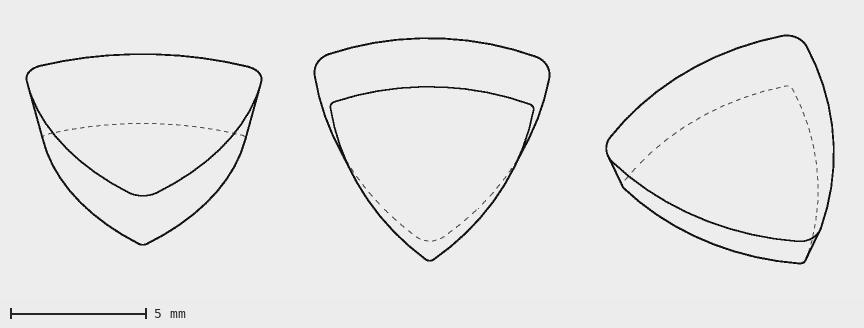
import cadquery as cq
import math

width = 8.66
depth = 8.37
thickness = 2.78
corner_radius = 0.82
clearance_angle = 12.0

flank_inset = thickness * math.tan(math.radians(clearance_angle))

half_spacing = width / 2 - corner_radius
center_distance = half_spacing / math.cos(math.radians(30))
triangle_inradius = center_distance / 2

side_distance = depth - center_distance - corner_radius
bulge = side_distance - triangle_inradius - corner_radius
tangent_radius = (half_spacing**2 + bulge**2) / (2 * bulge)
tangent_half_angle = math.degrees(math.asin(half_spacing / tangent_radius))


def polar(distance, angle):
    """Point at a distance from the origin, at an angle in degrees."""
    return cq.Vector(
        distance * math.cos(math.radians(angle)),
        distance * math.sin(math.radians(angle)),
    )


def outline(z, inset):
    """Closed outline at height z, offset inward from the top face by inset."""
    radius = corner_radius - inset
    height = cq.Vector(0, 0, z)
    edges = []
    for corner_angle in (90, 210, 330):
        side_angle = corner_angle + 60
        next_angle = corner_angle + 120
        corner = polar(center_distance, corner_angle) + height
        next_corner = polar(center_distance, next_angle) + height

        start_angle = side_angle - tangent_half_angle
        end_angle = side_angle + tangent_half_angle
        corner_start_angle = end_angle - 120

        corner_start = corner + polar(radius, corner_start_angle)
        corner_middle = corner + polar(radius, corner_angle)
        side_start = corner + polar(radius, start_angle)
        side_middle = polar(side_distance - inset, side_angle) + height
        side_end = next_corner + polar(radius, end_angle)

        edges.append(cq.Edge.makeThreePointArc(corner_start, corner_middle, side_start))
        edges.append(cq.Edge.makeThreePointArc(side_start, side_middle, side_end))
    return cq.Wire.assembleEdges(edges)


bottom_outline = outline(0, flank_inset)
top_outline = outline(thickness, 0)
result = cq.Workplane(obj=cq.Solid.makeLoft([bottom_outline, top_outline], True))